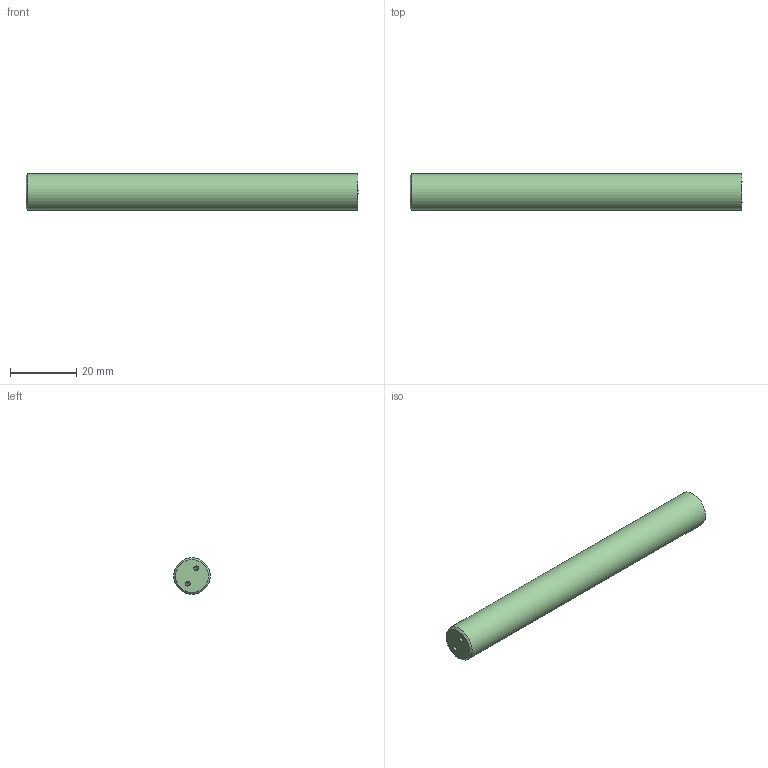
import cadquery as cq
import math

ROD_LENGTH = 100.0
ROD_DIAMETER = 11.0
END_CHAMFER = 0.05 * ROD_DIAMETER

CHANNEL_COUNT = 2
CHANNEL_DIAMETER = 1.4
CHANNEL_CIRCLE_DIAMETER = 5.3
HELIX_ANGLE = 30.0

END_X = -ROD_LENGTH / 2
HELIX_PITCH = math.pi * ROD_DIAMETER / math.tan(math.radians(HELIX_ANGLE))
CHANNEL_TWIST = 360.0 * ROD_LENGTH / HELIX_PITCH


def make_rod():
    """Cylinder with its -X rim chamfered."""
    rod = cq.Workplane("YZ", origin=(END_X, 0, 0)).circle(ROD_DIAMETER / 2).extrude(ROD_LENGTH)
    return rod.faces("<X").edges().chamfer(END_CHAMFER)


def make_channels():
    """Spiral channel cutters over the full length, ending on the Y axis at the +X face."""
    start = cq.Workplane("YZ", origin=(END_X, 0, 0))
    centres = start.polarArray(CHANNEL_CIRCLE_DIAMETER / 2, -CHANNEL_TWIST, 360, CHANNEL_COUNT)
    return centres.circle(CHANNEL_DIAMETER / 2).twistExtrude(ROD_LENGTH, CHANNEL_TWIST)


result = make_rod().cut(make_channels())